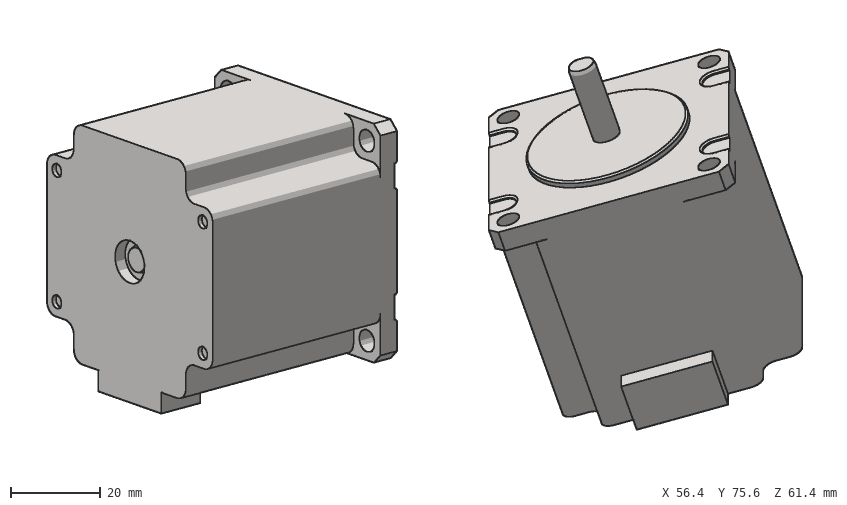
import cadquery as cq
import math


overall_length = 75.6
body_length = 55.0
flange_thickness = 5.0

width = 56.4
half_width = width / 2
flange_chamfer = 2.3
notch_wall = 19.05
notch_radius = 2.95

mount_hole_offset = 23.6
mount_hole_diameter = 5.15

screw_x = 24.8
screw_z = 15.5
screw_hole_diameter = 3.1
screw_hole_depth = 1.1
head_recess_width = 5.9
head_recess_depth = 0.75
head_recess_chamfer = 0.45

pilot_diameter = 38.1
pilot_height = 1.6
pilot_chamfer = 0.45

shaft_diameter = 6.35
shaft_radius = shaft_diameter / 2
end_taper_length = 1.0
end_taper_depth = 0.3
flat_length = 15.0
flat_height = 2.65

bore_diameter = 10.0
bore_depth = 3.0
shaft_end_height = 1.0

connector_width = 21.5
connector_drop = 5.0
connector_length = 11.65


def plane_at(y):
    """Plane facing +Y at the given distance from the rear face, with local axes
    along +X and -Z."""
    return cq.Workplane(cq.Plane(origin=(0, y, 0), xDir=(1, 0, 0), normal=(0, 1, 0)))


def cylinder(diameter, start, end):
    return plane_at(start).circle(diameter / 2).extrude(end - start)


def square_mirrored(x, z):
    """The same point in all four quadrants."""
    return [(sx * x, sz * z) for sx in (1, -1) for sz in (1, -1)]


def make_flange():
    return (
        plane_at(body_length - flange_thickness)
        .rect(width, width)
        .extrude(flange_thickness)
        .edges("|Y")
        .chamfer(flange_chamfer)
    )


def make_body():
    """Square column with a rounded square notch along each corner."""
    length = body_length - flange_thickness
    wide = plane_at(0).rect(width, 2 * notch_wall).extrude(length)
    tall = plane_at(0).rect(2 * notch_wall, width).extrude(length)
    return wide.union(tall).edges("|Y").fillet(notch_radius)


def make_connector():
    return cq.Workplane("XY").box(
        connector_width, connector_length, half_width + connector_drop, centered=(True, False, False)
    ).translate((0, 0, -half_width - connector_drop))


def make_pilot():
    pilot = cylinder(pilot_diameter, body_length, body_length + pilot_height)
    return pilot.faces(">Y").chamfer(pilot_chamfer)


def make_shaft():
    """Shaft tapered at both ends, with a flat on the upper side of its front end."""
    start = bore_depth - shaft_end_height
    end_radius = shaft_radius - end_taper_depth
    half_profile = [
        (0, start),
        (end_radius, start),
        (shaft_radius, start + end_taper_length),
        (shaft_radius, overall_length - end_taper_length),
        (end_radius, overall_length),
        (0, overall_length),
    ]
    shaft = cq.Workplane("XY").polyline(half_profile).close().revolve(360, (0, 0, 0), (0, 1, 0))
    flat_cut = cq.Workplane("XY").box(
        shaft_diameter, flat_length, shaft_radius, centered=(True, False, False)
    ).translate((0, overall_length - flat_length, flat_height))
    return shaft.cut(flat_cut)


def make_holes(x, z, diameter, start, end):
    return plane_at(start).pushPoints(square_mirrored(x, z)).circle(diameter / 2).extrude(end - start)


def make_head_recess(x, z):
    """Round-bottomed slot around a screw, running out through the nearest side face."""
    reach = 2 * (half_width - abs(x))
    center_x = x + math.copysign(reach / 2, x)
    rim_width = head_recess_width + 2 * head_recess_chamfer
    face = plane_at(body_length).center(center_x, -z)
    recess = face.slot2D(reach + head_recess_width, head_recess_width).extrude(-head_recess_depth)
    rim = face.slot2D(reach + rim_width, rim_width).extrude(-head_recess_chamfer, taper=45)
    return recess.union(rim)


motor = make_body().union(make_flange()).union(make_connector()).union(make_pilot())
motor = motor.cut(cylinder(bore_diameter, 0, bore_depth)).union(make_shaft())

mount_holes = make_holes(
    mount_hole_offset, mount_hole_offset, mount_hole_diameter, body_length - flange_thickness, body_length
)
screw_holes = make_holes(screw_x, screw_z, screw_hole_diameter, 0, screw_hole_depth)
motor = motor.cut(mount_holes).cut(screw_holes)

for x, z in square_mirrored(screw_x, screw_z):
    motor = motor.cut(make_head_recess(x, z))

result = motor